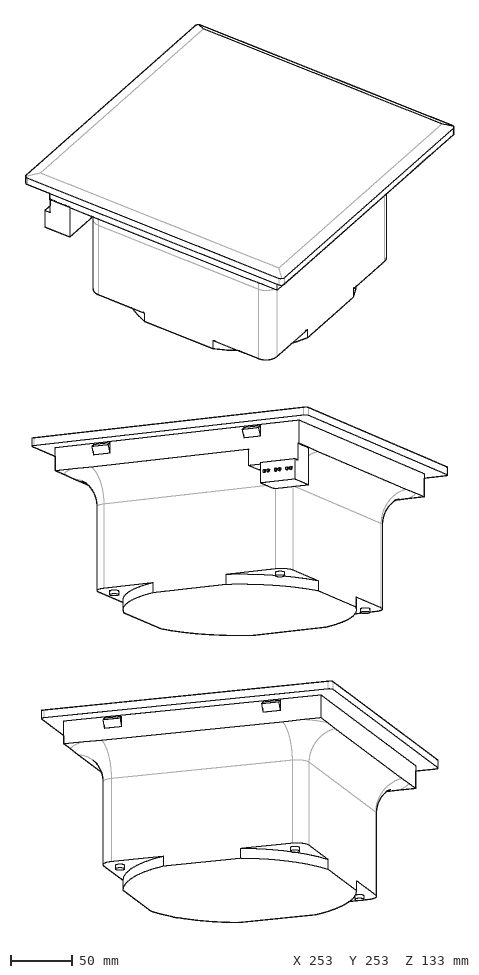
import cadquery as cq

overall_height = 133.0

lid_side = 253.0
lid_thickness = 8.5
lid_corner_radius = 3.3
bevel_height = 2.0
bevel_inset = 9.5
bevel_inset_back = 5.3

collar_side = 223.1
collar_height = 19.2

body_side = 178.0
body_corner_radius = 10.5
flare_radius = 26.5

foot_radius = 95.1
foot_height = 8.3

stud_radius = 3.8
stud_height = 3.0
stud_offset = 76.0

clip_width = 15.0
clip_offset = 68.8
clip_projection = 3.3
clip_top_gap = 1.0
clip_ridge_drop = 2.3
clip_height = 8.5

arm_right = -92.3
arm_front = -110.5
hanger_length = 45.0
hanger_height = 14.0
connector_step = 5.3
connector_length = 31.5
connector_height = 17.0

contact_radius = 1.3
contact_depth = 2.5
contact_spacing = 3.5
contact_pair_pitch = 10.4
contact_drop = 7.3

lid_bottom = overall_height - lid_thickness
rim_height = lid_thickness - bevel_height
collar_bottom = lid_bottom - collar_height
collar_left = -collar_side / 2
hanger_bottom = collar_bottom - hanger_height
connector_left = collar_left - connector_step


def block(x_min, x_max, y_min, y_max, z_min, z_max):
    """Axis-aligned box between opposite corners."""
    size = (x_max - x_min, y_max - y_min, z_max - z_min)
    return cq.Workplane("XY").box(*size, centered=False).translate((x_min, y_min, z_min))


def square_prism(side, z_min, z_max):
    """Square prism centred on the Z axis."""
    return cq.Workplane("XY", origin=(0, 0, z_min)).rect(side, side).extrude(z_max - z_min)


def make_lid():
    """Plate with a shallow bevel that is narrower along the back edge."""
    rim_top = lid_bottom + rim_height
    rim = square_prism(lid_side, lid_bottom, rim_top)
    top_depth = lid_side - bevel_inset - bevel_inset_back
    top_shift = (bevel_inset - bevel_inset_back) / 2
    bevel = (
        cq.Workplane("XY", origin=(0, 0, rim_top))
        .rect(lid_side, lid_side)
        .workplane(offset=bevel_height)
        .center(0, top_shift)
        .rect(lid_side - 2 * bevel_inset, top_depth)
        .loft(ruled=True)
    )
    rounded = square_prism(lid_side, lid_bottom, overall_height).edges("|Z").fillet(lid_corner_radius)
    return rim.union(bevel).intersect(rounded)


def make_body():
    """Rounded box whose concave flare is cut off by the collar sides."""
    body = square_prism(body_side, foot_height, collar_bottom).edges("|Z").fillet(body_corner_radius)
    flange = square_prism(lid_side, collar_bottom, lid_bottom)
    half_side = collar_side / 2
    margin = 0.3
    junction = cq.selectors.BoxSelector(
        (-half_side, -half_side, collar_bottom - margin),
        (half_side, half_side, collar_bottom + margin),
    )
    flared = body.union(flange).edges(junction).fillet(flare_radius)
    return flared.intersect(square_prism(collar_side, foot_height, lid_bottom))


def make_foot():
    """Disc flattened on four sides, flush with the body."""
    disc = cq.Workplane("XY").circle(foot_radius).extrude(foot_height)
    return disc.intersect(square_prism(body_side, 0, foot_height))


def make_studs():
    """Four short studs hanging outside the foot, one per body corner."""
    return (
        cq.Workplane("XY", origin=(0, 0, foot_height))
        .rect(2 * stud_offset, 2 * stud_offset, forConstruction=True)
        .vertices()
        .circle(stud_radius)
        .extrude(-stud_height)
    )


def make_clip(side, y_center):
    """Wedge on the +X (side = 1) or -X (side = -1) collar face."""
    face_x = side * collar_side / 2
    top = lid_bottom - clip_top_gap
    return (
        cq.Workplane("XZ", origin=(0, y_center + clip_width / 2, 0))
        .moveTo(face_x, top)
        .lineTo(face_x + side * clip_projection, top - clip_ridge_drop)
        .lineTo(face_x, top - clip_height)
        .close()
        .extrude(clip_width)
    )


def make_arm():
    """Hanger flush with the collar, carrying a connector that steps outward."""
    hanger = block(
        collar_left, arm_right, arm_front, arm_front + hanger_length, hanger_bottom, collar_bottom
    )
    connector = block(
        connector_left,
        arm_right,
        arm_front,
        arm_front + connector_length,
        hanger_bottom - connector_height,
        hanger_bottom,
    )
    return hanger.union(connector)


def make_contact_holes():
    """Three pairs of blind holes running in from the connector face."""
    middle_y = arm_front + connector_length / 2
    points = [
        (pair * contact_pair_pitch + half * contact_spacing / 2, 0)
        for pair in (-1, 0, 1)
        for half in (-1, 1)
    ]
    return (
        cq.Workplane("YZ", origin=(connector_left, middle_y, hanger_bottom - contact_drop))
        .pushPoints(points)
        .circle(contact_radius)
        .extrude(contact_depth)
    )


result = make_body().union(make_lid()).union(make_foot()).union(make_studs())
for clip_side in (-1, 1):
    for clip_y in (-clip_offset, clip_offset):
        result = result.union(make_clip(clip_side, clip_y))
result = result.union(make_arm()).cut(make_contact_holes())